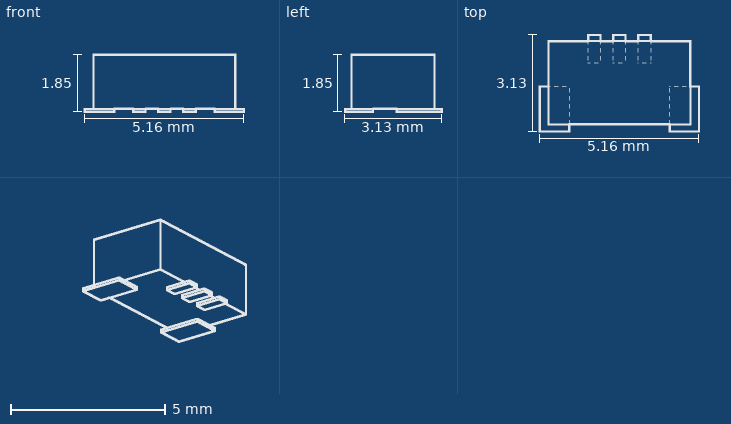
import cadquery as cq

overall_length = 5.16
overall_width = 3.13
overall_height = 1.85

pad_thickness = 0.1
corner_pad_length = 0.96
corner_pad_width = 1.465
terminal_length = 0.41
terminal_width = 0.91
terminal_pitch = 0.81
terminal_count = 3

housing_length = 4.6
housing_width = 2.7
terminal_overhang = 0.2

back_edge = overall_width / 2
front_edge = -overall_width / 2


def make_block(length, width, height, center_x, center_y, base_z):
    """Box centred in X and Y, with its underside at base_z."""
    return (
        cq.Workplane("XY")
        .box(length, width, height, centered=(True, True, False))
        .translate((center_x, center_y, base_z))
    )


def make_housing():
    center_y = back_edge - terminal_overhang - housing_width / 2
    height = overall_height - pad_thickness
    return make_block(housing_length, housing_width, height, 0, center_y, pad_thickness)


def make_corner_pad(side):
    """Large pad at a front corner; side is -1 for left and +1 for right."""
    center_x = side * (overall_length - corner_pad_length) / 2
    center_y = front_edge + corner_pad_width / 2
    return make_block(corner_pad_length, corner_pad_width, pad_thickness, center_x, center_y, 0)


def make_terminal(index):
    """Small terminal in the row along the back edge."""
    center_x = (index - (terminal_count - 1) / 2) * terminal_pitch
    center_y = back_edge - terminal_width / 2
    return make_block(terminal_length, terminal_width, pad_thickness, center_x, center_y, 0)


housing = make_housing()
corner_pads = [make_corner_pad(side) for side in (-1, 1)]
terminals = [make_terminal(index) for index in range(terminal_count)]

result = cq.Compound.makeCompound(
    [
        housing.val(),
        *[pad.val() for pad in corner_pads],
        *[terminal.val() for terminal in terminals],
    ]
)